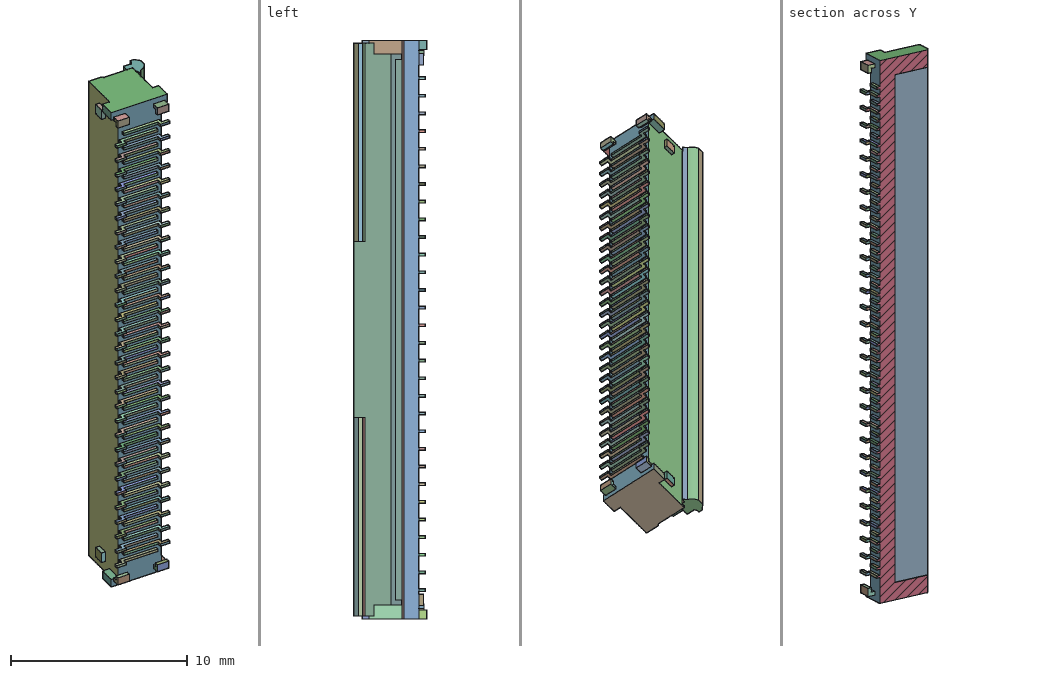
import cadquery as cq

length = 32.77
half_length = length / 2
overall_width = 4.15

lower_front_x = 0.0
upper_front_x = 0.1
front_step_top_y = -0.43
front_step_bottom_y = -0.52
rear_x = 3.35
housing_top_y = 1.45
housing_bottom_y = -1.38

slot_top_y = -0.05
slot_bottom_y = front_step_top_y
slot_half_length = 15.3
slot_floor_x = 2.3

flange_front_x = 2.35
flange_half_width = 1.85
flange_length = 0.52

peg_size = 0.65
peg_center_x = 1.57
peg_end_offset = 1.08
peg_reach_y = 1.65

pin_count = 60
pin_span = 29.5
pin_pitch = pin_span / (pin_count - 1)
pin_width = 0.15
pin_thickness = 0.2
pin_leg_y = 1.1
pin_tip_y = 1.75
foot_x = 3.8

nail_end_offset = 0.35
nail_height = 0.5
nail_thickness = 0.23
nail_inner_y = 0.92
nail_outer_y = 1.67

lever_half_length = 16.22
lever_tip_x = -0.8
lever_front_x = -0.5
lever_top_y = overall_width - flange_half_width
lip_bottom_y = 1.8
lip_top_y = 2.03
lip_root_y = 1.67
lip_hollow = (-0.6, 1.77)
grip_top_end_x = -0.1
grip_crown = ((0.15, 2.13), (0.33, 1.87))
grip_tail = (0.52, 1.67)
grip_heel = (0.3, 1.6)
lever_bevel_top_y = 0.2
lever_bevel_run = upper_front_x - lever_front_x
lever_bevel_bottom_y = lever_bevel_top_y - lever_bevel_run
lever_end_notch_y = 1.18
lever_end_notch_length = 0.62
grip_gap_half_length = 4.98


def box(x_range, y_range, z_range):
    """Box spanning the given (start, end) pair along each axis."""
    starts, ends = zip(*(sorted(pair) for pair in (x_range, y_range, z_range)))
    sizes = [end - start for start, end in zip(starts, ends)]
    return cq.Workplane("XY").box(*sizes, centered=False).translate(starts)


def prism(points, half_height):
    """XY outline extruded equally above and below mid length."""
    return cq.Workplane("XY").polyline(points).close().extrude(half_height, both=True)


def make_housing():
    outline = [
        (lower_front_x, housing_bottom_y),
        (rear_x, housing_bottom_y),
        (rear_x, housing_top_y),
        (upper_front_x, housing_top_y),
        (upper_front_x, front_step_top_y),
        (lower_front_x, front_step_bottom_y),
    ]
    body = prism(outline, half_length)
    for end in (-1, 1):
        flange_z = (end * (half_length - flange_length), end * half_length)
        flange_y = (-flange_half_width, flange_half_width)
        body = body.union(box((flange_front_x, rear_x), flange_y, flange_z))

        peg_z = end * (half_length - peg_end_offset)
        peg = box(
            (peg_center_x - peg_size / 2, peg_center_x + peg_size / 2),
            (-peg_reach_y, peg_reach_y),
            (peg_z - peg_size / 2, peg_z + peg_size / 2),
        )
        body = body.union(peg)
    return body


def make_lever():
    lever = (
        cq.Workplane("XY")
        .moveTo(upper_front_x, lever_bevel_bottom_y)
        .lineTo(lever_front_x, lever_bevel_top_y)
        .lineTo(lever_front_x, lip_root_y)
        .threePointArc(lip_hollow, (lever_tip_x, lip_bottom_y))
        .lineTo(lever_tip_x, lip_top_y)
        .lineTo(lever_front_x, lever_top_y)
        .lineTo(grip_top_end_x, lever_top_y)
        .threePointArc(*grip_crown)
        .lineTo(*grip_tail)
        .lineTo(*grip_heel)
        .lineTo(grip_heel[0], housing_top_y)
        .lineTo(upper_front_x, housing_top_y)
        .close()
        .extrude(lever_half_length, both=True)
    )

    for end in (-1, 1):
        notch_z = (end * (lever_half_length - lever_end_notch_length), end * lever_half_length)
        notch_y = (lever_bevel_bottom_y, lever_end_notch_y)
        lever = lever.cut(box((lever_front_x, upper_front_x), notch_y, notch_z))

    gap_z = (-grip_gap_half_length, grip_gap_half_length)
    return lever.cut(box((lever_tip_x, lever_front_x), (lip_root_y, lever_top_y), gap_z))


def make_pin(side, z):
    """Bent strip: flat on the rear face, a leg, then a foot towards side."""
    strap_x = rear_x + pin_thickness
    outline = [
        (rear_x, -side * pin_leg_y),
        (strap_x, -side * pin_leg_y),
        (strap_x, side * pin_leg_y),
        (foot_x, side * pin_leg_y),
        (foot_x, side * pin_tip_y),
        (foot_x - pin_thickness, side * pin_tip_y),
        (foot_x - pin_thickness, side * (pin_leg_y + pin_thickness)),
        (rear_x, side * (pin_leg_y + pin_thickness)),
    ]
    return prism(outline, pin_width / 2).translate((0, 0, z))


def make_nail(side, end):
    """L-shaped tab whose pad turns towards mid length."""
    y_range = (side * nail_inner_y, side * nail_outer_y)
    outer_z = half_length - nail_end_offset
    leg = box((rear_x, foot_x), y_range, (end * (outer_z - nail_thickness), end * outer_z))
    pad_z = (end * (outer_z - nail_height), end * outer_z)
    return leg.union(box((foot_x - nail_thickness, foot_x), y_range, pad_z))


def make_cable_slot():
    """Cutter for the slot, which also flattens the lever bevel above it."""
    slot_y = (slot_bottom_y, slot_top_y)
    return box((lever_front_x, slot_floor_x), slot_y, (-slot_half_length, slot_half_length))


body = make_housing().union(make_lever()).cut(make_cable_slot())

for nail_side in (-1, 1):
    for nail_end in (-1, 1):
        body = body.union(make_nail(nail_side, nail_end))

pins = []
for index in range(pin_count):
    row_side = -1 if index % 2 == 0 else 1
    pins.append(make_pin(row_side, index * pin_pitch - pin_span / 2).val())

result = cq.Workplane("XY").newObject([body.val().fuse(*pins)]).solids()